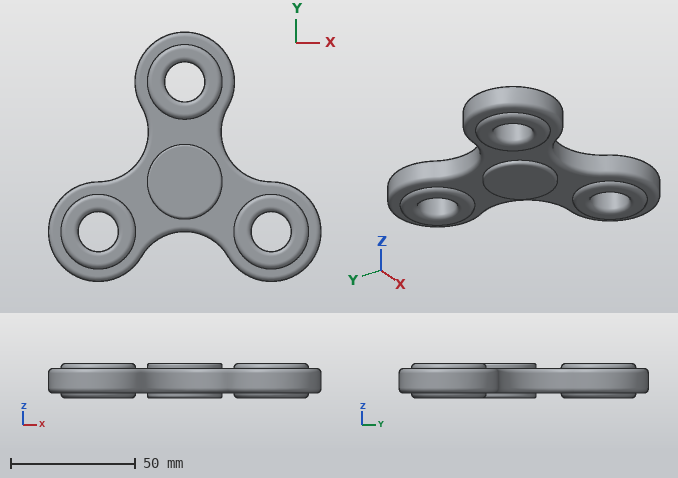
import cadquery as cq
import math

arm_count = 3
arm_reach = 40.0
lobe_radius = arm_reach / 2
body_thickness = 10.0
body_edge_fillet = 2.0

ring_diameter = 30.0
ring_bore = 16.0
ring_protrusion = 2.0
ring_edge_fillet = 2.0

pad_diameter = 30.0
pad_height = 2.0
pad_edge_fillet = 1.0

pad_span = body_thickness + 2 * pad_height
ring_span = body_thickness + 2 * ring_protrusion

arm_step = 360.0 / arm_count
first_arm_angle = 90.0
arm_angles = [first_arm_angle + i * arm_step for i in range(arm_count)]


def polar(radius, angle):
    """Point at a distance and an angle in degrees from the spinner axis."""
    return (
        radius * math.cos(math.radians(angle)),
        radius * math.sin(math.radians(angle)),
    )


def base_plane(span):
    """Workplane at the underside of a shape of this height centred on Z = 0."""
    return cq.Workplane("XY", origin=(0, 0, -span / 2))


def tangent_point(lobe_angle, waist_angle):
    """Point where a lobe meets a waist: midway between their centres."""
    lobe_x, lobe_y = polar(arm_reach, lobe_angle)
    waist_x, waist_y = polar(arm_reach, waist_angle)
    return ((lobe_x + waist_x) / 2, (lobe_y + waist_y) / 2)


def make_plate():
    """Three-lobed plate, centred on Z = 0, with rounded rims."""
    half_step = arm_step / 2
    lobe_tip = arm_reach + lobe_radius
    waist_bottom = arm_reach - lobe_radius
    outline = base_plane(body_thickness)
    outline = outline.moveTo(*tangent_point(first_arm_angle, first_arm_angle - half_step))
    for angle in arm_angles:
        waist_angle = angle + half_step
        lobe_end = tangent_point(angle, waist_angle)
        waist_end = tangent_point(angle + arm_step, waist_angle)
        outline = outline.threePointArc(polar(lobe_tip, angle), lobe_end)
        outline = outline.threePointArc(polar(waist_bottom, waist_angle), waist_end)
    plate = outline.close().extrude(body_thickness)
    return plate.faces("<Z or >Z").edges().fillet(body_edge_fillet)


def make_pads():
    """Cylinder through the plate whose two ends form the finger pads."""
    pads = base_plane(pad_span).circle(pad_diameter / 2).extrude(pad_span)
    return pads.faces("<Z or >Z").edges().fillet(pad_edge_fillet)


def make_body():
    """Plate with finger pads and a through hole for each weight ring."""
    ring_centres = [polar(arm_reach, angle) for angle in arm_angles]
    ring_holes = (
        base_plane(body_thickness)
        .pushPoints(ring_centres)
        .circle(ring_diameter / 2)
        .extrude(body_thickness)
    )
    return make_plate().union(make_pads()).cut(ring_holes).solids()


def make_ring(angle):
    """Weight ring filling the hole of one lobe, rounded inside and outside."""
    ring = (
        base_plane(ring_span)
        .center(*polar(arm_reach, angle))
        .circle(ring_diameter / 2)
        .circle(ring_bore / 2)
        .extrude(ring_span)
    )
    return ring.faces("<Z or >Z").edges().fillet(ring_edge_fillet).solids()


body = make_body()
rings = [make_ring(angle) for angle in arm_angles]

result = cq.Compound.makeCompound([body.val(), *[ring.val() for ring in rings]])